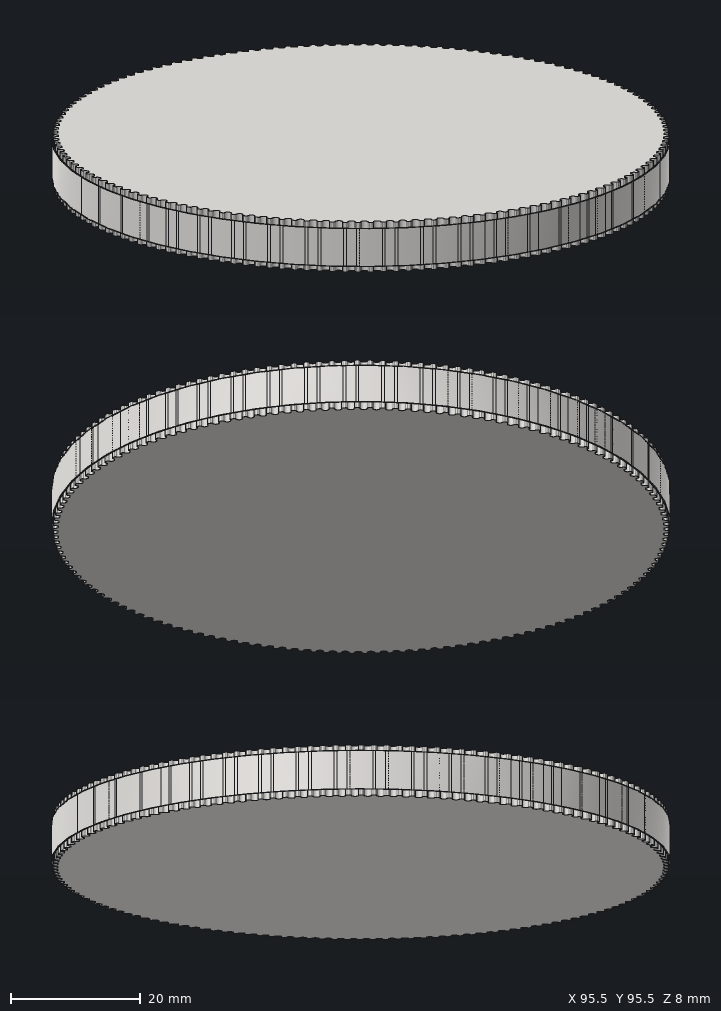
import cadquery as cq
import math

outer_diameter = 95.5
height = 8.0
outer_radius = outer_diameter / 2

rim_height = 1.0
band_height = height - 2 * rim_height
band_thickness = 0.24

groove_count = 150
groove_depth = 0.79
root_arc_radius = 0.55
lip_radius = 0.23
tip_radius = outer_radius - band_thickness
groove_pitch_angle = 360 / groove_count


def groove_point(groove_angle, depth, offset):
    """Point at a depth below the tooth tips, offset sideways from the middle line of a groove."""
    angle = math.radians(groove_angle)
    along = tip_radius - depth
    return (
        along * math.cos(angle) - offset * math.sin(angle),
        along * math.sin(angle) + offset * math.cos(angle),
    )


def tip_point(angle):
    """Point on the circle of the tooth tips."""
    return groove_point(angle, 0, 0)


def toothed_disc():
    """Disc whose outline alternates narrow tooth tips with rounded grooves."""
    half_mouth = root_arc_radius + lip_radius
    half_mouth_angle = math.degrees(math.asin(half_mouth / tip_radius))
    wall_end_depth = groove_depth - root_arc_radius
    lip_middle_depth = lip_radius * (1 - math.sqrt(0.5))
    lip_middle_offset = half_mouth - lip_radius * math.sqrt(0.5)

    outline = cq.Workplane("XY").moveTo(*tip_point(-half_mouth_angle))
    for index in range(groove_count):
        angle = index * groove_pitch_angle
        outline = outline.threePointArc(
            groove_point(angle, lip_middle_depth, -lip_middle_offset),
            groove_point(angle, lip_radius, -root_arc_radius),
        )
        outline = outline.lineTo(*groove_point(angle, wall_end_depth, -root_arc_radius))
        outline = outline.threePointArc(
            groove_point(angle, groove_depth, 0),
            groove_point(angle, wall_end_depth, root_arc_radius),
        )
        outline = outline.lineTo(*groove_point(angle, lip_radius, root_arc_radius))
        outline = outline.threePointArc(
            groove_point(angle, lip_middle_depth, lip_middle_offset),
            tip_point(angle + half_mouth_angle),
        )
        outline = outline.threePointArc(
            tip_point(angle + groove_pitch_angle / 2),
            tip_point(angle + groove_pitch_angle - half_mouth_angle),
        )
    return outline.close().extrude(height)


def groove_band():
    """Ring around the tooth tips, set in from both faces by the rim height."""
    return (
        cq.Workplane("XY", origin=(0, 0, rim_height))
        .circle(outer_radius)
        .circle(tip_radius)
        .extrude(band_height)
    )


result = toothed_disc().union(groove_band())